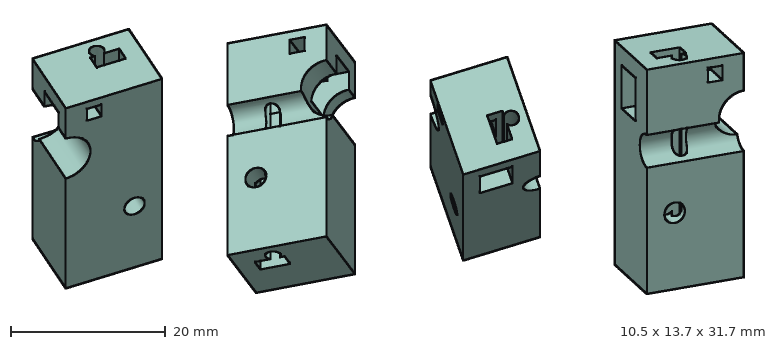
import cadquery as cq

width = 10.48
depth = 13.7
height = 31.65

front_groove_radius = 3.5
front_groove_z = 22.83
side_groove_radius = 2.3
side_groove_z = 20.15

window_width = 4.43
window_height = 6.08
window_x = 5.98
window_z = 26.0

channel_side = 2.05
channel_y = 4.05
channel_z = 29.38
pin_diameter = 2.88
pin_y = 9.78
pin_z = 10.8

slot_width = 2.05
slot_length = 4.1
slot_x = 3.95
slot_y = 8.95
bore_diameter = 2.03
bore_x = 2.15
bore_y = 8.2


def box_cutter(size_x, size_y, size_z, center):
    return cq.Workplane("XY").box(size_x, size_y, size_z).translate(center)


def cylinder_along_x(radius, y, z):
    return cq.Workplane("YZ").center(y, z).circle(radius).extrude(width)


def cylinder_along_y(radius, x, z):
    return cq.Workplane("XZ").center(x, z).circle(radius).extrude(-depth)


def cylinder_along_z(radius, x, y):
    return cq.Workplane("XY").center(x, y).circle(radius).extrude(height)


block = cq.Workplane("XY").box(width, depth, height, centered=False)

front_groove = cylinder_along_x(front_groove_radius, 0, front_groove_z)
side_groove = cylinder_along_y(side_groove_radius, 0, side_groove_z)

window = box_cutter(window_width, depth, window_height, (window_x, depth / 2, window_z))
channel = box_cutter(width, channel_side, channel_side, (width / 2, channel_y, channel_z))
pin_hole = cylinder_along_x(pin_diameter / 2, pin_y, pin_z)

slot = box_cutter(slot_width, slot_length, height, (slot_x, slot_y, height / 2))
bore = cylinder_along_z(bore_diameter / 2, bore_x, bore_y)

result = block
for cutter in (front_groove, side_groove, window, channel, pin_hole, slot, bore):
    result = result.cut(cutter)